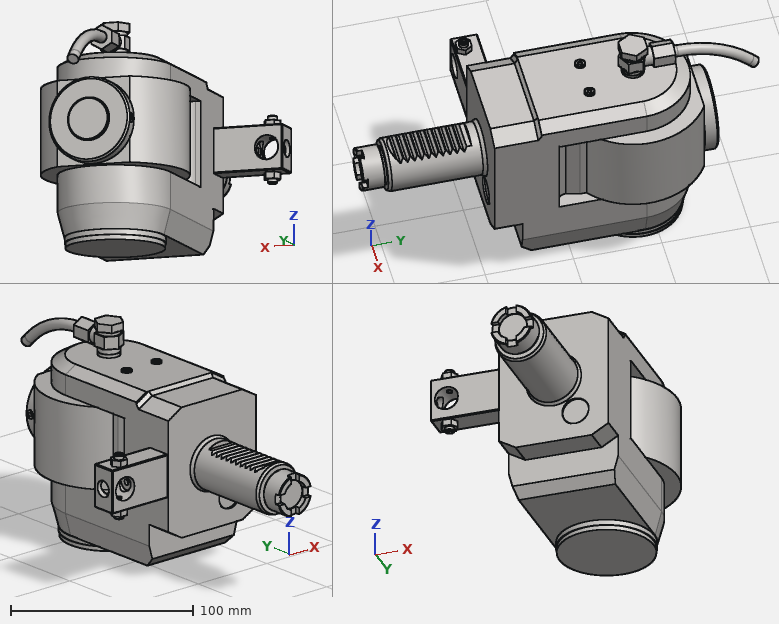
import cadquery as cq
import math


half_width = 32.0
housing_back = 31.5
housing_top = 40.3
top_chamfer_width = 7.5
top_chamfer_height = 4.3
top_face_front = -59.5
housing_front = -70.3
taper_start = -44.9
housing_bottom = -59.0
taper_angle = 15.0
toe_chamfer = 6.0

plate_front = -86.1
plate_back = -61.5
plate_half_height = 38.0
plate_chamfer_width = 9.7
plate_chamfer_height = 5.7
dimple_radius = 7.7
dimple_x = 12.7
dimple_z = -21.5
dimple_depth = 1.1

drum_radius = 41.0
drum_half_height = 24.0
drum_back = 35.1
cover_radius = 23.5
cover_end = 43.0
cover_chamfer = 1.1
hub_radius = 12.0
hub_end = 44.5
hub_chamfer = 0.7
cover_screw_y = 39.0
cover_screw_radius = 2.5
cover_screw_recess = 2.7
cover_screw_socket_radius = 1.1
ring_radius = 27.9
ring_bottom = -64.8
ring_step_height = 2.7
ring_step = 0.5

pocket_floor = 25.2
pocket_bend = -36.3
pocket_arc_start = -43.7
pocket_front = -49.5
pocket_slope = 15.0

shank_radius = 15.0
shank_end = -141.7
shank_chamfer_length = 1.8
shank_chamfer_depth = 1.0
collar_radius = 16.0
collar_end = -88.5
neck_radius = 10.9
tang_start = -143.0
tang_end = -155.5
tang_radius = 12.0
tang_chamfer = 0.5
slot_width = 6.0
slot_depth = 3.0
bore_radius = 8.2
bore_depth = 3.6
rack_start = -93.5
rack_height = 12.2
tooth_depth = 1.75
valley_count = 10
first_valley = -98.0
last_valley = -134.0
tooth_pitch = (first_valley - last_valley) / (valley_count - 1)

arm_end = -72.0
arm_back = -70.3
arm_front = -85.5
arm_half_height = 12.7
arm_chamfer = 0.57
arm_hole_x = -62.8
arm_hole_radius = 6.8
side_port_y = -77.7
side_port_radius = 4.8
side_port_floor = -55.0
drill_radius = 1.7
drill_end = -53.3
stud_y = -80.2
stud_radius = 2.7
stud_tip_radius = 1.5
stud_tip_z = 6.3
stud_top = 19.0
stud_bottom = -18.5
stud_chamfer = 0.57
stud_socket_corner_diameter = 2.7
stud_socket_depth = 1.8
nut_corner_diameter = 9.5
nut_height = 3.6

fitting_radius = 6.5
foot_radius = 6.3
foot_height = 2.0
block_bottom = 45.5
block_top = 53.0
block_corner_diameter = 16.3
cap_bottom = 55.3
cap_top = 60.0
cap_corner_diameter = 16.8
branch_z = 49.2
branch_radius = 5.2
branch_nut_start = 10.7
branch_nut_end = 22.7
branch_nut_corner_diameter = 13.8
hose_radius = 3.2
hose_bend_start = 24.7
hose_bend_radius = 58.0
hose_bend_angle = 45.0
hose_tip = 71.2

top_screw_x = 10.9
top_screw_y = -27.2
top_screw_radius = 3.0
top_screw_height = 1.25
top_screw_chamfer = 0.5
top_screw_socket_corner_diameter = 2.7
top_screw_socket_depth = 1.0


def cylinder_y(radius, y_start, y_end, x=0, z=0):
    """Cylinder along Y."""
    start_plane = cq.Workplane("XZ", origin=(x, y_start, z))
    return start_plane.circle(radius).extrude(y_start - y_end)


def cone_to_front(start_radius, end_radius, y_start, y_end):
    """Cone about the shank axis, running towards -Y."""
    start = cq.Vector(0, y_start, 0)
    towards_front = cq.Vector(0, -1, 0)
    return cq.Workplane(
        cq.Solid.makeCone(start_radius, end_radius, y_start - y_end, start, towards_front)
    )


def cylinder_z(radius, z_start, z_end, x=0, y=0):
    """Cylinder along Z."""
    return cq.Workplane("XY", origin=(x, y, z_start)).circle(radius).extrude(z_end - z_start)


def hex_z(corner_diameter, z_start, z_end, x=0, y=0, turn=0):
    """Hexagonal prism along Z, corners on X unless turned."""
    prism = cq.Workplane("XY").polygon(6, corner_diameter).extrude(z_end - z_start)
    return prism.rotate((0, 0, 0), (0, 0, 1), turn).translate((x, y, z_start))


def box_between(x_range, y_range, z_range):
    """Axis-aligned box from its limits."""
    low, high = zip(x_range, y_range, z_range)
    size = [b - a for a, b in zip(low, high)]
    return cq.Workplane("XY").box(*size, centered=False).translate(low)


def housing_outline(z):
    """Plan outline of the housing: straight sides and a half-round rear end."""
    return (
        cq.Workplane("XY", origin=(0, 0, z))
        .moveTo(-half_width, plate_front)
        .lineTo(half_width, plate_front)
        .lineTo(half_width, 0)
        .threePointArc((0, housing_back), (-half_width, 0))
        .close()
    )


def chamfered_section(y, half_height, chamfer_width, chamfer_height):
    """Wire of a rectangle across Y with its four corners cut."""
    inner = half_width - chamfer_width
    shoulder = half_height - chamfer_height
    points = [
        (inner, half_height), (half_width, shoulder),
        (half_width, -shoulder), (inner, -half_height),
        (-inner, -half_height), (-half_width, -shoulder),
        (-half_width, shoulder), (-inner, half_height),
    ]
    return cq.Wire.makePolygon([cq.Vector(x, y, z) for x, z in points], close=True)


def make_housing():
    chamfer_base = housing_top - top_chamfer_height
    chamfer_taper = math.degrees(math.atan(top_chamfer_width / top_chamfer_height))
    walls = housing_outline(taper_start).extrude(chamfer_base - taper_start)
    crown = housing_outline(chamfer_base).extrude(top_chamfer_height, taper=chamfer_taper)
    foot = housing_outline(taper_start).extrude(housing_bottom - taper_start, taper=taper_angle)
    far = 2 * half_width
    upper_trim = box_between((-far, far), (-far * 2, top_face_front), (0, far))
    lower_trim = box_between((-far, far), (-far * 2, housing_front), (-far, 0))
    body = walls.union(crown).union(foot).cut(upper_trim).cut(lower_trim)
    toe = (
        cq.Workplane("YZ", origin=(-far, 0, 0))
        .moveTo(housing_front, housing_bottom)
        .lineTo(housing_front + toe_chamfer, housing_bottom)
        .lineTo(housing_front, housing_bottom + toe_chamfer)
        .close()
        .extrude(2 * far)
    )
    return body.cut(toe)


def make_plate():
    front = chamfered_section(plate_front, plate_half_height, plate_chamfer_width, plate_chamfer_height)
    back = chamfered_section(plate_back, plate_half_height, plate_chamfer_width, plate_chamfer_height)
    growth = housing_top - plate_half_height
    corner_slope = math.atan(plate_chamfer_height / plate_chamfer_width)
    step_height = plate_chamfer_height + growth * (1 - 1 / math.cos(corner_slope))
    step_width = step_height / math.tan(corner_slope)
    step = chamfered_section(top_face_front, housing_top, step_width, step_height)
    slab = cq.Workplane(cq.Solid.makeLoft([front, back], True))
    bevel = cq.Workplane(cq.Solid.makeLoft([back, step], True))
    dimple = cylinder_y(dimple_radius, plate_front, plate_front + dimple_depth, dimple_x, dimple_z)
    return slab.union(bevel).cut(dimple)


def make_pocket():
    """Cutter for the pocket on the -X side."""
    run = pocket_bend - pocket_arc_start
    deep = -pocket_floor + run * math.tan(math.radians(pocket_slope))
    arc_radius = pocket_arc_start - pocket_front
    arc_shift = arc_radius * (1 - math.sqrt(0.5))
    return (
        cq.Workplane("XY", origin=(0, 0, -drum_half_height))
        .moveTo(-drum_radius, 0)
        .lineTo(-pocket_floor, 0)
        .lineTo(-pocket_floor, pocket_bend)
        .lineTo(deep, pocket_arc_start)
        .threePointArc((deep - arc_shift, pocket_front + arc_shift), (deep - arc_radius, pocket_front))
        .lineTo(-drum_radius, pocket_front)
        .close()
        .extrude(2 * drum_half_height)
    )


def make_drum():
    drum = cylinder_z(drum_radius, -drum_half_height, drum_half_height)
    behind = (drum_back, 2 * drum_radius)
    side = (-drum_radius, drum_radius)
    drum = drum.cut(box_between(side, behind, side))
    cover = cylinder_y(cover_radius, drum_back, cover_end).faces(">Y").chamfer(cover_chamfer)
    hub = cylinder_y(hub_radius, drum_back, hub_end).faces(">Y").chamfer(hub_chamfer)
    recess_plane = cq.Workplane("YZ", origin=(-cover_radius, cover_screw_y, 0))
    recess = (
        recess_plane.circle(cover_screw_radius)
        .circle(cover_screw_socket_radius)
        .extrude(cover_screw_recess)
    )
    return drum.union(cover.cut(recess)).union(hub)


def make_bottom_ring():
    step_z = ring_bottom + ring_step_height
    upper = cylinder_z(ring_radius, step_z, housing_bottom)
    lower = cylinder_z(ring_radius - ring_step, ring_bottom, step_z)
    return upper.union(lower)


def make_rack_cutter():
    """Notch along the top of the shank, with teeth across its floor."""
    valley_z = rack_height - tooth_depth
    top = 2 * shank_radius
    points = [(rack_start, top), (rack_start, rack_height)]
    for i in range(valley_count):
        valley = first_valley - i * tooth_pitch
        points.append((valley + tooth_depth, rack_height))
        points.append((valley, valley_z))
        points.append((valley - tooth_depth, rack_height))
    land_end = last_valley - tooth_pitch / 2
    points.append((land_end, rack_height))
    points.append((land_end - (top - rack_height), top))
    return (
        cq.Workplane("YZ", origin=(-shank_radius, 0, 0))
        .polyline(points)
        .close()
        .extrude(2 * shank_radius)
    )


def make_shank():
    chamfer_start = shank_end + shank_chamfer_length
    shank = cylinder_y(shank_radius, chamfer_start, plate_front)
    shank = shank.union(
        cone_to_front(shank_radius, shank_radius - shank_chamfer_depth, chamfer_start, shank_end)
    )
    shank = shank.cut(make_rack_cutter())
    collar = cone_to_front(collar_radius, shank_radius, plate_front, collar_end)
    neck = cylinder_y(neck_radius, tang_start, shank_end)
    tang = cylinder_y(tang_radius, tang_end, tang_start).faces("<Y").chamfer(tang_chamfer)
    slot_end = tang_end + slot_depth
    tang = tang.cut(cylinder_y(bore_radius, tang_end, tang_end + bore_depth))
    across = (-tang_radius, tang_radius)
    narrow = (-slot_width / 2, slot_width / 2)
    tang = tang.cut(box_between(across, (tang_end, slot_end), narrow))
    tang = tang.cut(box_between(narrow, (tang_end, slot_end), across))
    return shank.union(collar).union(neck).union(tang)


def make_stud(tip_z, nut_start, nut_end, end_z):
    """Stud and nut on one face of the arm, with its tip just inside the arm hole."""
    stud = cylinder_z(stud_radius, nut_start, end_z, arm_hole_x, stud_y)
    outer_face = ">Z" if end_z > 0 else "<Z"
    stud = stud.faces(outer_face).chamfer(stud_chamfer)
    socket_floor = end_z - math.copysign(stud_socket_depth, end_z)
    socket = hex_z(stud_socket_corner_diameter, socket_floor, end_z, arm_hole_x, stud_y)
    stud = stud.cut(socket)
    tip = cylinder_z(stud_tip_radius, tip_z, nut_start, arm_hole_x, stud_y)
    nut = hex_z(nut_corner_diameter, nut_start, nut_end, arm_hole_x, stud_y)
    return stud.union(nut).union(tip)


def make_arm():
    bar = box_between(
        (arm_end, -half_width), (arm_front, arm_back), (-arm_half_height, arm_half_height)
    )
    bar = bar.edges("|X").chamfer(arm_chamfer).faces("<X").chamfer(arm_chamfer)
    bar = bar.cut(cylinder_y(arm_hole_radius, arm_front, arm_back, arm_hole_x))
    port_plane = cq.Workplane("YZ", origin=(arm_end, side_port_y, 0))
    bar = bar.cut(port_plane.circle(side_port_radius).extrude(side_port_floor - arm_end))
    bar = bar.cut(port_plane.circle(drill_radius).extrude(drill_end - arm_end))
    upper_nut = arm_half_height + nut_height
    upper = make_stud(stud_tip_z, arm_half_height, upper_nut, stud_top)
    lower = make_stud(-stud_tip_z, -arm_half_height, -upper_nut, stud_bottom)
    return bar.union(upper).union(lower)


def make_hose():
    angle = math.radians(hose_bend_angle)
    bend_end_y = hose_bend_start + hose_bend_radius * math.sin(angle)
    bend_end_z = branch_z - hose_bend_radius * (1 - math.cos(angle))
    mid_y = hose_bend_start + hose_bend_radius * math.sin(angle / 2)
    mid_z = branch_z - hose_bend_radius * (1 - math.cos(angle / 2))
    end_y = hose_tip - hose_radius * math.sin(angle)
    end_z = bend_end_z - (end_y - bend_end_y) * math.tan(angle)
    path = (
        cq.Workplane("YZ")
        .moveTo(branch_nut_end, branch_z)
        .lineTo(hose_bend_start, branch_z)
        .threePointArc((mid_y, mid_z), (bend_end_y, bend_end_z))
        .lineTo(end_y, end_z)
    )
    return cq.Workplane("XZ", origin=(0, branch_nut_end, branch_z)).circle(hose_radius).sweep(path)


def make_fitting():
    foot_top = housing_top + foot_height
    foot = cylinder_z(foot_radius, housing_top, foot_top)
    post = cylinder_z(fitting_radius, foot_top, cap_bottom)
    block = hex_z(block_corner_diameter, block_bottom, block_top, turn=30)
    cap = hex_z(cap_corner_diameter, cap_bottom, cap_top)
    branch = cylinder_y(branch_radius, 0, branch_nut_start, z=branch_z)
    nut = hex_z(branch_nut_corner_diameter, branch_nut_start, branch_nut_end)
    nut = nut.rotate((0, 0, 0), (1, 0, 0), -90).rotate((0, 0, 0), (0, 1, 0), 90)
    nut = nut.translate((0, 0, branch_z))
    return foot.union(post).union(block).union(cap).union(branch).union(nut).union(make_hose())


def make_top_screw(x):
    screw_top = housing_top + top_screw_height
    screw = cylinder_z(top_screw_radius, housing_top, screw_top, x, top_screw_y)
    screw = screw.faces(">Z").chamfer(top_screw_chamfer)
    socket_floor = screw_top - top_screw_socket_depth
    socket = hex_z(top_screw_socket_corner_diameter, socket_floor, screw_top, x, top_screw_y)
    return screw.cut(socket)


pocket = make_pocket()
body = make_housing().union(make_plate()).cut(pocket).cut(pocket.mirror("YZ"))
parts = [make_drum(), make_bottom_ring(), make_shank(), make_arm(), make_fitting()]
parts += [make_top_screw(x) for x in (-top_screw_x, top_screw_x)]
result = body
for part in parts:
    result = result.union(part)